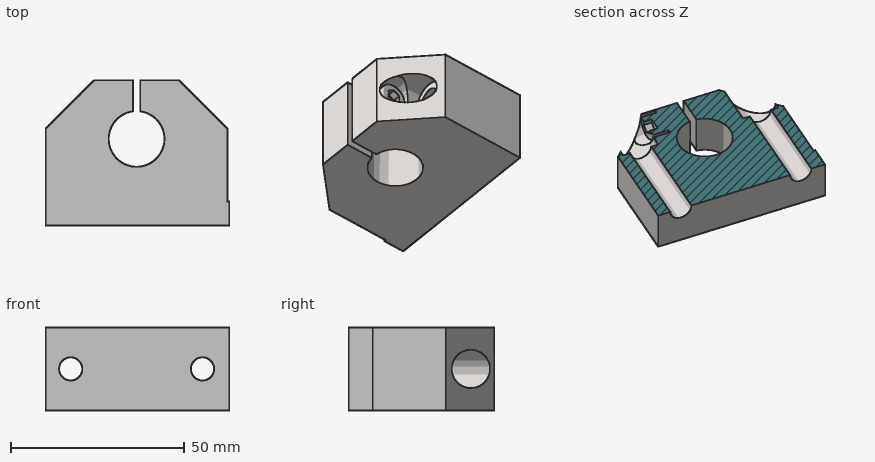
import cadquery as cq
import math

overall_width = 53.0
lip_width = 0.55
lip_length = 7.0
body_width = overall_width - lip_width
body_length = 42.0
thickness = 24.0
corner_chamfer = 14.0

mid_x = body_width / 2
mid_z = thickness / 2

bore_diameter = 16.0
bore_y = 25.0
slot_width = 2.0

mount_spacing = 38.0
mount_diameter = 6.6
counterbore_diameter = 11.0
counterbore_floor_y = body_length - corner_chamfer

screw_y = 36.4
pocket_diameter = 10.0
pocket_floor_x = 18.0
head_diameter = 8.5
head_height = 5.0
head_edge_radius = 0.5
socket_across_flats = 4.05
socket_depth = 2.5


def make_block():
    """Chamfered plate with a thin lip on the +X side at the mounting end."""
    outline = [
        (0, 0),
        (overall_width, 0),
        (overall_width, lip_length),
        (body_width, lip_length),
        (body_width, body_length - corner_chamfer),
        (body_width - corner_chamfer, body_length),
        (corner_chamfer, body_length),
        (0, body_length - corner_chamfer),
    ]
    return cq.Workplane("XY").polyline(outline).close().extrude(thickness)


def make_split_bore():
    """Through bore joined to the slot that opens at the +Y end."""
    bore = cq.Workplane("XY").center(mid_x, bore_y).circle(bore_diameter / 2).extrude(thickness)
    slot_length = body_length - bore_y
    slot = (
        cq.Workplane("XY")
        .center(mid_x, bore_y + slot_length / 2)
        .rect(slot_width, slot_length)
        .extrude(thickness)
    )
    return bore.union(slot)


def cylinder_along_y(x, diameter, start_y):
    """Cylinder at mid thickness from start_y to the +Y end."""
    base = cq.Workplane("XZ", origin=(x, start_y, mid_z))
    return base.circle(diameter / 2).extrude(start_y - body_length)


def make_mount_hole(x):
    hole = cylinder_along_y(x, mount_diameter, 0)
    return hole.union(cylinder_along_y(x, counterbore_diameter, counterbore_floor_y))


def make_screw_pocket():
    base = cq.Workplane("YZ", origin=(0, screw_y, mid_z))
    return base.circle(pocket_diameter / 2).extrude(pocket_floor_x)


def make_screw_head():
    """Socket head standing on the pocket floor, its hexagon opening toward -X."""
    head_face_x = pocket_floor_x - head_height
    face = cq.Workplane("YZ", origin=(head_face_x, screw_y, mid_z))
    head = face.circle(head_diameter / 2).extrude(head_height)
    head = head.faces("<X").edges().fillet(head_edge_radius)
    across_corners = socket_across_flats / math.cos(math.pi / 6)
    socket_plane = face.transformed(rotate=(0, 0, 90))
    return head.cut(socket_plane.polygon(6, across_corners).extrude(socket_depth))


result = make_block().cut(make_split_bore())
for side in (-1, 1):
    result = result.cut(make_mount_hole(mid_x + side * mount_spacing / 2))
result = result.cut(make_screw_pocket()).union(make_screw_head())